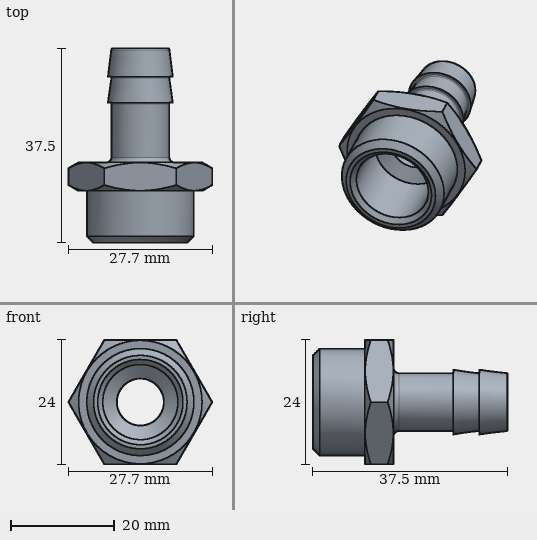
import cadquery as cq
import math

total_length = 37.5
thread_length = 10.0
hex_thickness = 5.5
thread_end_y = -total_length / 2
hex_front_y = thread_end_y + thread_length
hex_back_y = hex_front_y + hex_thickness
hose_end_y = total_length / 2

across_flats = 24.0
across_corners = across_flats / math.cos(math.radians(30))
hex_face_radius = 11.9
hex_chamfer_angle = 30.0

thread_radius = 10.3
thread_chamfer = 1.3

tail_radius = 5.6
tip_round = 0.38
barb_radius = 6.25
barb_count = 2
first_barb_length = 5.48
barb_pitch = 5.0
barb_fillet = 0.2
neck_fillet = 1.0

hole_radius = 4.5
bore_radius = 7.25
mouth_chamfer = 0.98
bore_depth = 13.12
drill_point_angle = 118.0


def revolve_about_y(profile):
    """Turn a closed (radius, y) profile around the fitting axis."""
    return profile.close().revolve(360, (0, 0, 0), (0, 1, 0))


def make_hex():
    """Hexagon with corners on X, both faces trimmed by a shallow cone."""
    prism = (
        cq.Workplane("XZ", origin=(0, hex_front_y, 0))
        .polygon(6, across_corners)
        .extrude(-hex_thickness)
    )
    corner_radius = across_corners / 2
    corner_drop = (corner_radius - hex_face_radius) * math.tan(math.radians(hex_chamfer_angle))
    envelope = revolve_about_y(
        cq.Workplane("XY")
        .moveTo(0, hex_front_y)
        .lineTo(hex_face_radius, hex_front_y)
        .lineTo(corner_radius, hex_front_y + corner_drop)
        .lineTo(corner_radius, hex_back_y - corner_drop)
        .lineTo(hex_face_radius, hex_back_y)
        .lineTo(0, hex_back_y)
    )
    return prism.intersect(envelope)


def make_thread_spigot():
    """Plain cylinder in place of the thread, with a 45 degree lead-in."""
    spigot = cq.Workplane("XZ", origin=(0, hex_front_y, 0)).circle(thread_radius).extrude(thread_length)
    return spigot.faces("<Y").chamfer(thread_chamfer)


def add_root_fillet(profile, shoulder_y, radius, direction):
    """Add a quarter arc blending the tail with a shoulder.

    direction is +1 to run from a shoulder up onto the tail, -1 to run from the tail up to a shoulder.
    """
    leg = radius * (1 - math.sqrt(0.5))
    on_shoulder = (tail_radius + radius, shoulder_y)
    middle = (tail_radius + leg, shoulder_y + direction * leg)
    on_tail = (tail_radius, shoulder_y + direction * radius)
    start, end = (on_shoulder, on_tail) if direction > 0 else (on_tail, on_shoulder)
    return profile.lineTo(*start).threePointArc(middle, end)


def make_hose_tail():
    """Barbed tail with filleted neck and barb roots and a rounded tip."""
    profile = cq.Workplane("XY").moveTo(0, hex_back_y)
    profile = add_root_fillet(profile, hex_back_y, neck_fillet, 1)
    for barb in reversed(range(barb_count)):
        shoulder_y = hose_end_y - first_barb_length - barb * barb_pitch
        profile = add_root_fillet(profile, shoulder_y, barb_fillet, -1)
        profile = profile.lineTo(barb_radius, shoulder_y)
    tail = revolve_about_y(profile.lineTo(tail_radius, hose_end_y).lineTo(0, hose_end_y))
    return tail.faces(">Y").edges().fillet(tip_round)


def make_passage():
    """Through hole opening into a drilled bore with a chamfered mouth."""
    bore_end_y = thread_end_y + bore_depth
    point_length = (bore_radius - hole_radius) / math.tan(math.radians(drill_point_angle / 2))
    return revolve_about_y(
        cq.Workplane("XY")
        .moveTo(0, thread_end_y)
        .lineTo(bore_radius + mouth_chamfer, thread_end_y)
        .lineTo(bore_radius, thread_end_y + mouth_chamfer)
        .lineTo(bore_radius, bore_end_y)
        .lineTo(hole_radius, bore_end_y + point_length)
        .lineTo(hole_radius, hose_end_y)
        .lineTo(0, hose_end_y)
    )


result = make_hex().union(make_thread_spigot()).union(make_hose_tail()).cut(make_passage())